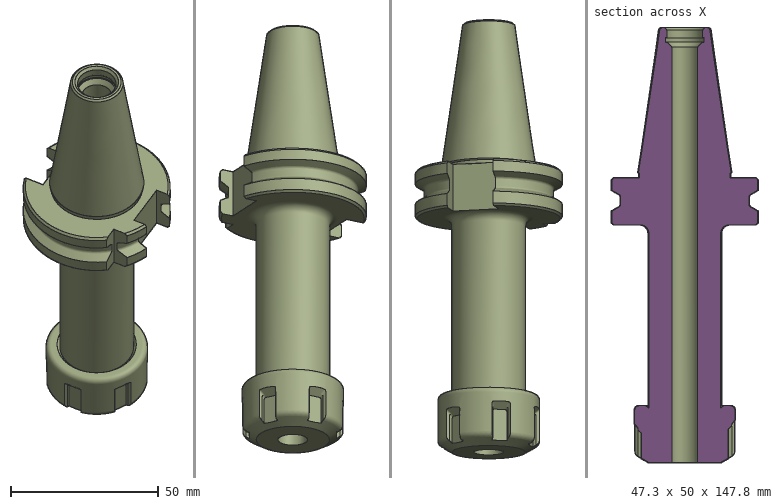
import cadquery as cq
import math

TOTAL_LENGTH = 147.8
OVERCUT = 1.5

GAUGE_RADIUS = 15.8
GAUGE_Z = 100.0
TAPER_SLOPE = 7 / 24 / 2
TAPER_BASE_Z = 98.6
TAPER_EDGE_CHAMFER = 0.6
NECK_RADIUS = 15.7
NECK_TOP_Z = 98.1

FLANGE_RADIUS = 25.0
FLANGE_BOTTOM_Z = 80.7
FLANGE_TOP_Z = 96.8
FLANGE_CHAMFER = 0.7
GROOVE_CENTRE_Z = 89.0
GROOVE_FLOOR_RADIUS = 22.0
GROOVE_FLOOR_HALF = 1.8
GROOVE_ANGLE = 30.0
GROOVE_CORNER_FILLET = 0.7

SLOT_WIDTH = 16.1
LEFT_SLOT_FLOOR = 16.4
RIGHT_SLOT_FLOOR = 18.8
NOTCH_X = 14.8
NOTCH_Y = 15.1

SHANK_RADIUS = 12.5
SHANK_FILLET = 2.8

NUT_RADIUS = 17.3
NUT_HEIGHT = 19.5
NUT_TOP_FILLET = 1.8
NUT_MOUTH_RADIUS = 13.5
NUT_NOSE_RADIUS = 12.4
NUT_NOSE_ANGLE = 30.0
NUT_NOSE_FILLET = 2.0

WRENCH_SLOT_COUNT = 6
WRENCH_FLOOR_RADIUS = 14.8
WRENCH_WALL_RADIUS = 16.0
WRENCH_FLOOR_HALF = 2.7
WRENCH_MOUTH_HALF = 3.4
WRENCH_CORNER_FILLET = 0.7
WRENCH_TOP_FRONT = 14.6
WRENCH_TOP_BACK = 13.3

BORE_RADIUS = 5.0
ENTRY_RADIUS = 6.5
ENTRY_CHAMFER = 0.9
ENTRY_DEPTH = 3.5
RELIEF_RADIUS = 7.0
RELIEF_DEPTH = 5.0
SEAT_DEPTH = 6.7


def taper_radius(z):
    """Radius of the taper at height z."""
    return GAUGE_RADIUS - (z - GAUGE_Z) * TAPER_SLOPE


def revolve_profile(points):
    """Revolve a closed (radius, z) outline around the Z axis."""
    return cq.Workplane("XZ").polyline(points).close().revolve(360, (0, 0), (0, 1))


def make_taper():
    """Taper and the neck that joins it to the flange."""
    shoulder_z = TOTAL_LENGTH - TAPER_EDGE_CHAMFER
    return revolve_profile([
        (0, FLANGE_TOP_Z - OVERCUT),
        (NECK_RADIUS, FLANGE_TOP_Z - OVERCUT),
        (NECK_RADIUS, NECK_TOP_Z),
        (taper_radius(TAPER_BASE_Z), TAPER_BASE_Z),
        (taper_radius(shoulder_z), shoulder_z),
        (taper_radius(TOTAL_LENGTH) - TAPER_EDGE_CHAMFER, TOTAL_LENGTH),
        (0, TOTAL_LENGTH),
    ])


def make_flange():
    """Chamfered disc with a gripper groove, two unequal driving slots and a corner notch."""
    groove_depth = FLANGE_RADIUS - GROOVE_FLOOR_RADIUS
    groove_rim_half = GROOVE_FLOOR_HALF + groove_depth * math.tan(math.radians(GROOVE_ANGLE))
    groove = revolve_profile([
        (GROOVE_FLOOR_RADIUS, GROOVE_CENTRE_Z - GROOVE_FLOOR_HALF),
        (FLANGE_RADIUS, GROOVE_CENTRE_Z - groove_rim_half),
        (FLANGE_RADIUS + OVERCUT, GROOVE_CENTRE_Z - groove_rim_half),
        (FLANGE_RADIUS + OVERCUT, GROOVE_CENTRE_Z + groove_rim_half),
        (FLANGE_RADIUS, GROOVE_CENTRE_Z + groove_rim_half),
        (GROOVE_FLOOR_RADIUS, GROOVE_CENTRE_Z + GROOVE_FLOOR_HALF),
    ])
    groove = groove.edges(cq.selectors.RadiusNthSelector(0)).fillet(GROOVE_CORNER_FILLET)
    height = FLANGE_TOP_Z - FLANGE_BOTTOM_Z
    base = cq.Workplane("XY").workplane(offset=FLANGE_BOTTOM_Z)
    flange = base.circle(FLANGE_RADIUS).extrude(height)
    flange = flange.edges("%CIRCLE").chamfer(FLANGE_CHAMFER).cut(groove)

    reach = FLANGE_RADIUS + OVERCUT
    half_slot = SLOT_WIDTH / 2
    cutouts = [
        ((-reach, -half_slot), (-LEFT_SLOT_FLOOR, half_slot)),
        ((RIGHT_SLOT_FLOOR, -half_slot), (reach, half_slot)),
        ((NOTCH_X, -reach), (reach, -NOTCH_Y)),
    ]
    for (x_min, y_min), (x_max, y_max) in cutouts:
        block = base.center(x_min, y_min).rect(x_max - x_min, y_max - y_min, centered=False)
        flange = flange.cut(block.extrude(height))
    return flange


def make_shank():
    """Cylinder flaring into the underside of the flange through a quarter-round fillet."""
    fillet_z = FLANGE_BOTTOM_Z - SHANK_FILLET
    bend = SHANK_FILLET * (1 - math.sqrt(0.5))
    return (
        cq.Workplane("XZ")
        .moveTo(0, OVERCUT)
        .lineTo(SHANK_RADIUS, OVERCUT)
        .lineTo(SHANK_RADIUS, fillet_z)
        .threePointArc(
            (SHANK_RADIUS + bend, FLANGE_BOTTOM_Z - bend),
            (SHANK_RADIUS + SHANK_FILLET, FLANGE_BOTTOM_Z),
        )
        .lineTo(SHANK_RADIUS + SHANK_FILLET, FLANGE_BOTTOM_Z + OVERCUT)
        .lineTo(0, FLANGE_BOTTOM_Z + OVERCUT)
        .close()
        .revolve(360, (0, 0), (0, 1))
    )


def make_wrench_slot(top_z):
    """Cutter on the +X side: flared side walls and a roof rising outwards at 45 degrees."""
    outer_radius = NUT_RADIUS + OVERCUT
    flare = (WRENCH_MOUTH_HALF - WRENCH_FLOOR_HALF) / (NUT_RADIUS - WRENCH_WALL_RADIUS)
    outer_half = WRENCH_FLOOR_HALF + flare * (outer_radius - WRENCH_WALL_RADIUS)
    plan = (
        cq.Workplane("XY")
        .polyline([
            (WRENCH_FLOOR_RADIUS, -WRENCH_FLOOR_HALF),
            (WRENCH_WALL_RADIUS, -WRENCH_FLOOR_HALF),
            (outer_radius, -outer_half),
            (outer_radius, outer_half),
            (WRENCH_WALL_RADIUS, WRENCH_FLOOR_HALF),
            (WRENCH_FLOOR_RADIUS, WRENCH_FLOOR_HALF),
        ])
        .close()
        .extrude(NUT_HEIGHT)
    )
    side = (
        cq.Workplane("XZ")
        .polyline([
            (WRENCH_FLOOR_RADIUS, 0),
            (outer_radius, 0),
            (outer_radius, top_z + outer_radius - NUT_RADIUS),
            (WRENCH_FLOOR_RADIUS, top_z + WRENCH_FLOOR_RADIUS - NUT_RADIUS),
        ])
        .close()
        .extrude(outer_half, both=True)
    )
    roof = cq.selectors.ParallelDirSelector(cq.Vector(-1, 0, 1))
    return plan.intersect(side).faces(roof).edges("not |Y").fillet(WRENCH_CORNER_FILLET)


def make_nut():
    """Nut with a conical nose, rounded rims, a bevelled mouth around the shank and wrench slots."""
    nose_z = (NUT_RADIUS - NUT_NOSE_RADIUS) * math.tan(math.radians(NUT_NOSE_ANGLE))
    mouth_depth = NUT_MOUTH_RADIUS - SHANK_RADIUS
    body = revolve_profile([
        (0, 0),
        (NUT_NOSE_RADIUS, 0),
        (NUT_RADIUS, nose_z),
        (NUT_RADIUS, NUT_HEIGHT),
        (NUT_MOUTH_RADIUS, NUT_HEIGHT),
        (SHANK_RADIUS, NUT_HEIGHT - mouth_depth),
        (0, NUT_HEIGHT - mouth_depth),
    ])
    largest_circle = cq.selectors.RadiusNthSelector(-1)
    body = body.edges(largest_circle).edges("<Z").fillet(NUT_NOSE_FILLET)
    body = body.faces(">Z").edges(largest_circle).fillet(NUT_TOP_FILLET)
    for index in range(WRENCH_SLOT_COUNT):
        angle = (index + 0.5) * 360 / WRENCH_SLOT_COUNT
        faces_back = math.sin(math.radians(angle)) > 0
        top_z = WRENCH_TOP_BACK if faces_back else WRENCH_TOP_FRONT
        body = body.cut(make_wrench_slot(top_z).rotate((0, 0, 0), (0, 0, 1), angle))
    return body


def make_bore():
    """Cutter for the through bore and the stepped entry at the top of the taper."""
    return revolve_profile([
        (0, -OVERCUT),
        (BORE_RADIUS, -OVERCUT),
        (BORE_RADIUS, TOTAL_LENGTH - SEAT_DEPTH),
        (ENTRY_RADIUS, TOTAL_LENGTH - RELIEF_DEPTH),
        (RELIEF_RADIUS, TOTAL_LENGTH - RELIEF_DEPTH),
        (RELIEF_RADIUS, TOTAL_LENGTH - ENTRY_DEPTH),
        (ENTRY_RADIUS, TOTAL_LENGTH - ENTRY_DEPTH),
        (ENTRY_RADIUS, TOTAL_LENGTH - ENTRY_CHAMFER),
        (ENTRY_RADIUS + ENTRY_CHAMFER, TOTAL_LENGTH),
        (0, TOTAL_LENGTH),
    ])


result = make_taper().union(make_flange()).union(make_shank()).union(make_nut()).cut(make_bore())